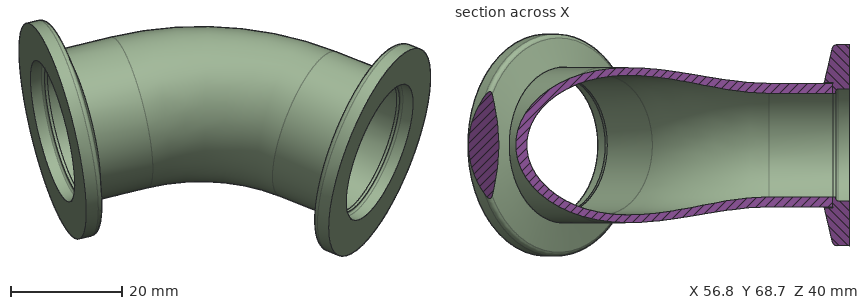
import cadquery as cq
import math

tube_outer_radius = 28.0 / 2
tube_inner_radius = 25.0 / 2
bend_radius = 42.2
bend_angle = 45
straight_length = 14.5

flange_radius = 40.0 / 2
flange_thickness = 4.6
counterbore_radius = 26.2 / 2
socket_radius = 28.1 / 2
counterbore_depth = 2.5
counterbore_fillet = 0.4
socket_stop_depth = 3.0
cone_angle = 15
rim_fillet = 0.95

tube_straight = straight_length - socket_stop_depth
cone_height = (flange_radius - socket_radius) * math.tan(math.radians(cone_angle))
rim_height = flange_thickness - cone_height


def at_far_end(body):
    """Move a body from the near end of the elbow to its mirrored place at the far end.

    The near end has its face at Y = 0 and faces -Y; the far end is turned by the bend.
    """
    return (
        body.mirror("XZ")
        .translate((0, 2 * straight_length, 0))
        .rotate((bend_radius, straight_length, 0), (bend_radius, straight_length, 1), -bend_angle)
    )


def make_flange():
    """Clamp flange around the Y axis, with its sealing face at Y = 0."""
    rim_edge = cq.selectors.BoxSelector(
        (-flange_radius * 2, rim_height / 2, -flange_radius * 2),
        (flange_radius * 2, (rim_height + flange_thickness) / 2, flange_radius * 2),
    )
    blank = (
        cq.Workplane("XY")
        .moveTo(0, 0)
        .lineTo(flange_radius, 0)
        .lineTo(flange_radius, rim_height)
        .lineTo(socket_radius, flange_thickness)
        .lineTo(0, flange_thickness)
        .close()
        .revolve(360, (0, 0), (0, 1))
        .edges(rim_edge)
        .fillet(rim_fillet)
    )
    bore = cq.Workplane("XZ").circle(tube_inner_radius).extrude(-flange_thickness)
    counterbore = (
        cq.Workplane("XZ")
        .circle(counterbore_radius)
        .extrude(-counterbore_depth)
        .faces(">Y")
        .edges()
        .fillet(counterbore_fillet)
    )
    socket = (
        cq.Workplane("XZ", origin=(0, socket_stop_depth, 0))
        .circle(socket_radius)
        .extrude(socket_stop_depth - flange_thickness)
    )
    return blank.cut(bore).cut(counterbore).cut(socket)


def make_elbow_tube():
    """Bent tube whose square ends rest on the socket stops of both flanges."""
    def ring(start):
        return (
            cq.Workplane("XZ", origin=(0, start, 0))
            .circle(tube_outer_radius)
            .circle(tube_inner_radius)
        )

    near_straight = ring(socket_stop_depth).extrude(-tube_straight)
    bend = ring(straight_length).revolve(bend_angle, (bend_radius, 0.7, 0), (bend_radius, 0, 0))
    return near_straight.union(bend).union(at_far_end(near_straight), clean=False)


elbow_tube = make_elbow_tube()
near_flange = make_flange()
flanges = [near_flange, at_far_end(near_flange)]

result = cq.Compound.makeCompound([elbow_tube.val(), *[flange.val() for flange in flanges]])